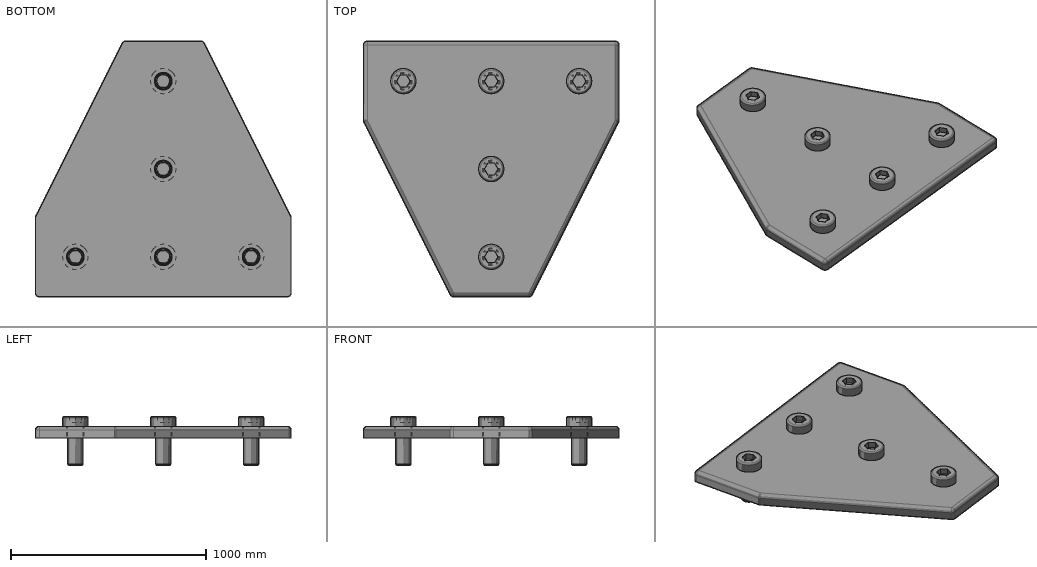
import cadquery as cq
import math

plate_size = 1310.0
half_size = plate_size / 2
plate_thickness = 60.0
foot_width = 410.0
edge_radius = plate_thickness / 3

edge_margin = foot_width / 2
screw_pitch = half_size - edge_margin
clearance_diameter = 90.0

overall_height = 250.0
head_diameter = 130.0
head_height = 50.0
head_edge_radius = 8.0
shank_diameter = 80.0
shank_length = overall_height - head_height
tip_chamfer = 7.0
socket_sides = 6
socket_across_flats = 60.0
socket_depth = 30.0

shoulder_y = half_size - foot_width
row_y = half_size - edge_margin

screw_row = [(column * screw_pitch, row_y) for column in (-1, 0, 1)]
screw_stem = [(0, row_y - step * screw_pitch) for step in (1, 2)]
screw_positions = screw_row + screw_stem


def make_plate():
    """Tapered plate with rounded corners, a rounded top rim and clearance holes."""
    outline = [
        (-half_size, half_size),
        (half_size, half_size),
        (half_size, shoulder_y),
        (foot_width / 2, -half_size),
        (-foot_width / 2, -half_size),
        (-half_size, shoulder_y),
    ]
    blank = cq.Workplane("XY").polyline(outline).close().extrude(plate_thickness)
    rounded = blank.edges("|Z").fillet(edge_radius).faces(">Z").edges().fillet(edge_radius)
    holes = (
        cq.Workplane("XY")
        .pushPoints(screw_positions)
        .circle(clearance_diameter / 2)
        .extrude(plate_thickness)
    )
    return rounded.cut(holes)


def make_screw(x, y):
    """Socket head screw whose head rests on the plate's top face at (x, y)."""
    seat = cq.Workplane("XY", origin=(x, y, plate_thickness))
    head = seat.circle(head_diameter / 2).extrude(head_height).faces(">Z").edges().fillet(head_edge_radius)
    shank = seat.circle(shank_diameter / 2).extrude(-shank_length).faces("<Z").chamfer(tip_chamfer)

    socket_across_corners = socket_across_flats / math.cos(math.pi / socket_sides)
    socket = (
        seat.workplane(offset=head_height)
        .polygon(socket_sides, socket_across_corners)
        .extrude(-socket_depth)
    )
    return head.union(shank).cut(socket)


plate = make_plate()
screws = [make_screw(x, y) for x, y in screw_positions]

result = cq.Compound.makeCompound([plate.val(), *[screw.val() for screw in screws]])